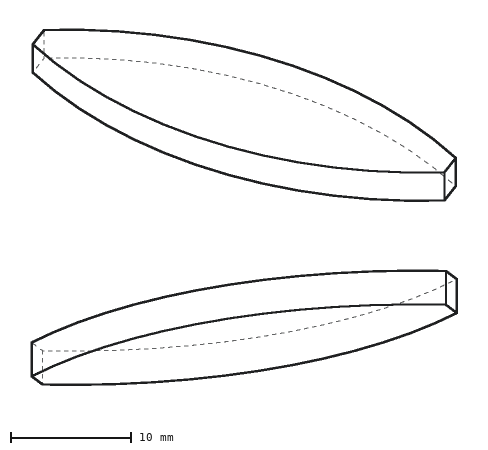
import cadquery as cq

length = 38.0
width = 12.0
thickness = 3.0
end_width = 2.13

half_length = length / 2
half_width = width / 2
half_end = end_width / 2

result = (
    cq.Workplane("XY")
    .moveTo(-half_length, half_end)
    .threePointArc((0, half_width), (half_length, half_end))
    .lineTo(half_length, -half_end)
    .threePointArc((0, -half_width), (-half_length, -half_end))
    .close()
    .extrude(thickness)
)